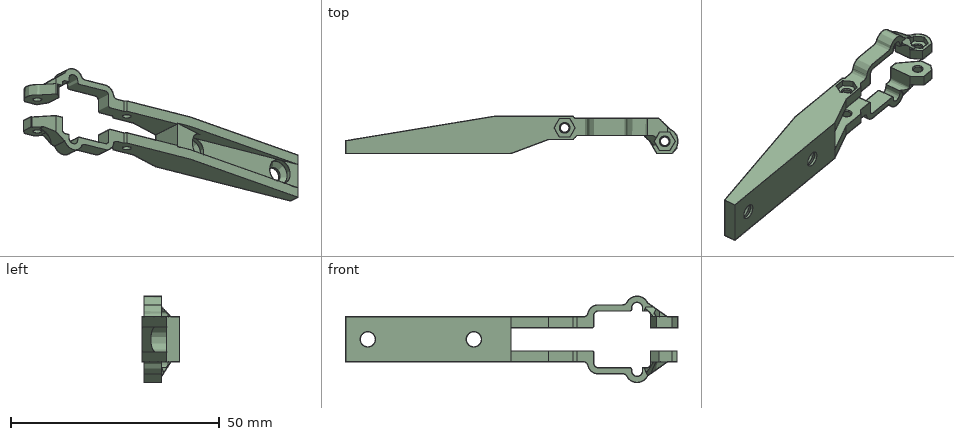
import cadquery as cq
import math

DEPTH = 9.0
HEIGHT = 10.8
BLOCK_LENGTH = 39.6
SLOT_HEIGHT = 5.5
ARM_OUTER = HEIGHT / 2
ARM_INNER = SLOT_HEIGHT / 2

TAIL_DEPTH = 3.1
TAPER_END = 35.8
RELIEF_END = 48.5
PAD_FRONT = 3.35
PAD_END = 54.4
PAD_CHAMFER = 0.95

TROUGH_HEIGHT = 6.0
RAMP_SLOPE = 0.36
MOUNT_HOLES_X = (5.3, 30.7)
MOUNT_HOLE_DIAMETER = 3.6
MOUNT_LIP = 0.6
MOUNT_HEAD_DIAMETER = TROUGH_HEIGHT

STRIP_FRONT = 4.3
STRIP_BACK = 8.5
STRIP_THICKNESS = 1.5
STRIP_TOP = 8.3
STRIP_BOTTOM = STRIP_TOP - STRIP_THICKNESS
STEP_X = 59.4
STEP_CORNER_RADIUS = 0.5
ELBOW_INNER_RADIUS = 1.0
ELBOW_OUTER_RADIUS = ELBOW_INNER_RADIUS + STRIP_THICKNESS
ELBOW_ROOT_RADIUS = 1.0

BUMP_X = 69.8
BUMP_TOP = 10.35
BUMP_INNER_RADIUS = 1.3
BUMP_OUTER_RADIUS = BUMP_INNER_RADIUS + STRIP_THICKNESS
BUMP_Z = BUMP_TOP - BUMP_OUTER_RADIUS
BUMP_ROOT_RADIUS = 1.0
BUMP_CORNER_RADIUS = 0.5
BUMP_END_ANGLE = 25.0

LENGTH = 79.6
TIP_RADIUS = 3.2
TIP_X = LENGTH - TIP_RADIUS
TIP_Y = 2.95
JAW_LEFT = 73.0
JAW_LEFT_CORNER_Y = 2.6
JAW_BACK_CORNER_X = 74.95
JAW_CHAMFER_X = 78.1
LOWER_JAW_FRONT_X = 75.0
LOWER_JAW_END = 79.3
LOWER_JAW_CHAMFER_Y = 1.3
LOWER_JAW_SHOULDER_Y = 4.45
UPPER_JAW_FRONT_X = 74.5
UPPER_JAW_CHAMFER = 1.4
UPPER_JAW_ARC_END = 65.0

STRUT_LEFT = 71.45
STRUT_CORNER_X = 73.7
STRUT_CORNER_Y = 2.1
STRUT_END = 77.0
STRUT_SHELF_END = 72.2
UPPER_BEVEL_TOP = 7.8
LOWER_BEVEL_TOP = 8.9

SCREW_DIAMETER = 2.1
SCREW_CHAMFER = 0.2
SCREW_HEAD_DIAMETER = 4.2
HEAD_CLEARANCE_DIAMETER = 8.75
NUT_WIDTH = 4.4
NUT_DEPTH = 1.5
PAD_SCREW = (52.4, (DEPTH + PAD_FRONT) / 2)
TIP_SCREW = (TIP_X, TIP_Y)


def polar(u, v, radius, degrees):
    """Point on a circle about (u, v) in the working plane."""
    angle = math.radians(degrees)
    return (u + radius * math.cos(angle), v + radius * math.sin(angle))


def extrude_plan(outline, bottom, top):
    """Extrude a closed XY outline between two heights."""
    return outline.extrude(top - bottom).translate((0, 0, bottom))


def extrude_side(outline, front, back):
    """Extrude a closed XZ outline between two depths."""
    return outline.extrude(-(back - front)).translate((0, front, 0))


def mount_hole(x):
    """Countersunk hole along Y, narrow at the front face and open to the trough."""
    hole_radius = MOUNT_HOLE_DIAMETER / 2
    head_radius = MOUNT_HEAD_DIAMETER / 2
    cone_end = MOUNT_LIP + head_radius - hole_radius
    half_section = cq.Workplane("XY").polyline([
        (0, 0),
        (hole_radius, 0),
        (hole_radius, MOUNT_LIP),
        (head_radius, cone_end),
        (head_radius, TAIL_DEPTH),
        (0, TAIL_DEPTH),
    ]).close()
    return half_section.revolve(360, (0, 0, 0), (0, 1, 0)).translate((x, 0, 0))


def block():
    """Tapered block with two root pads, a slot between them and a round-ended trough in its back."""
    body = extrude_plan(
        cq.Workplane("XY").polyline([
            (0, 0),
            (BLOCK_LENGTH, 0),
            (RELIEF_END, PAD_FRONT),
            (PAD_END, PAD_FRONT),
            (PAD_END + PAD_CHAMFER, PAD_FRONT + PAD_CHAMFER),
            (PAD_END + PAD_CHAMFER, DEPTH - PAD_CHAMFER),
            (PAD_END, DEPTH),
            (TAPER_END, DEPTH),
            (0, TAIL_DEPTH),
        ]).close(),
        -ARM_OUTER, ARM_OUTER)
    slot = cq.Workplane("XY").box(LENGTH, DEPTH, SLOT_HEIGHT, centered=(False, False, True))
    trough_end = MOUNT_HOLES_X[-1]
    trough = extrude_side(
        cq.Workplane("XZ")
        .moveTo(0, -TROUGH_HEIGHT / 2)
        .lineTo(trough_end, -TROUGH_HEIGHT / 2)
        .threePointArc((trough_end + TROUGH_HEIGHT / 2, 0), (trough_end, TROUGH_HEIGHT / 2))
        .lineTo(0, TROUGH_HEIGHT / 2)
        .close(),
        TAIL_DEPTH, DEPTH)
    ramp = extrude_plan(
        cq.Workplane("XY").polyline([
            (trough_end, DEPTH - RAMP_SLOPE * (BLOCK_LENGTH - trough_end)),
            (BLOCK_LENGTH, DEPTH),
            (trough_end, DEPTH),
        ]).close(),
        -TROUGH_HEIGHT / 2, TROUGH_HEIGHT / 2)
    body = body.cut(slot.translate((BLOCK_LENGTH, 0, 0))).cut(trough).cut(ramp)
    for x in MOUNT_HOLES_X:
        body = body.cut(mount_hole(x))
    return body


def strip():
    """Stepped strip of the upper arm from its root pad to the end of the bump."""
    elbow_x = STEP_X + ELBOW_INNER_RADIUS
    elbow_z = STRIP_TOP - ELBOW_OUTER_RADIUS
    root_z = ARM_OUTER + ELBOW_ROOT_RADIUS
    reach = ELBOW_OUTER_RADIUS + ELBOW_ROOT_RADIUS
    tilt = math.degrees(math.asin((root_z - elbow_z) / reach))
    root_x = elbow_x - reach * math.cos(math.radians(tilt))
    elbow_start = polar(elbow_x, elbow_z, ELBOW_OUTER_RADIUS, 180 - tilt)
    bump_root_z = STRIP_TOP + BUMP_ROOT_RADIUS
    bump_reach = BUMP_OUTER_RADIUS + BUMP_ROOT_RADIUS
    bump_tilt = math.degrees(math.asin((bump_root_z - BUMP_Z) / bump_reach))
    bump_root_x = BUMP_X - bump_reach * math.cos(math.radians(bump_tilt))
    bump_start = polar(BUMP_X, BUMP_Z, BUMP_OUTER_RADIUS, 180 - bump_tilt)
    bump_end = polar(BUMP_X, BUMP_Z, BUMP_OUTER_RADIUS, BUMP_END_ANGLE)
    bump_left = BUMP_X - BUMP_INNER_RADIUS
    bump_right = BUMP_X + BUMP_INNER_RADIUS
    outline = (
        cq.Workplane("XZ")
        .moveTo(PAD_END, ARM_INNER)
        .lineTo(PAD_END, ARM_OUTER)
        .lineTo(root_x, ARM_OUTER)
        .threePointArc(polar(root_x, root_z, ELBOW_ROOT_RADIUS, -45 - tilt / 2), elbow_start)
        .threePointArc(polar(elbow_x, elbow_z, ELBOW_OUTER_RADIUS, 135), (elbow_x, STRIP_TOP))
        .lineTo(bump_root_x, STRIP_TOP)
        .threePointArc(polar(bump_root_x, bump_root_z, BUMP_ROOT_RADIUS, -45 - bump_tilt / 2), bump_start)
        .threePointArc((BUMP_X, BUMP_TOP), bump_end)
        .lineTo(STRUT_SHELF_END, STRIP_BOTTOM)
        .lineTo(bump_right, STRIP_BOTTOM)
        .lineTo(bump_right, BUMP_Z)
        .threePointArc((BUMP_X, BUMP_Z + BUMP_INNER_RADIUS), (bump_left, BUMP_Z))
        .lineTo(bump_left, STRIP_BOTTOM + BUMP_CORNER_RADIUS)
        .threePointArc(
            polar(bump_left - BUMP_CORNER_RADIUS, STRIP_BOTTOM + BUMP_CORNER_RADIUS,
                  BUMP_CORNER_RADIUS, -45),
            (bump_left - BUMP_CORNER_RADIUS, STRIP_BOTTOM))
        .lineTo(elbow_x, STRIP_BOTTOM)
        .threePointArc(polar(elbow_x, elbow_z, ELBOW_INNER_RADIUS, 135), (STEP_X, elbow_z))
        .lineTo(STEP_X, ARM_INNER + STEP_CORNER_RADIUS)
        .threePointArc(
            polar(STEP_X - STEP_CORNER_RADIUS, ARM_INNER + STEP_CORNER_RADIUS,
                  STEP_CORNER_RADIUS, -45),
            (STEP_X - STEP_CORNER_RADIUS, ARM_INNER))
        .close())
    return extrude_side(outline, STRIP_FRONT, STRIP_BACK)


def strut(bevel_top):
    """Sloping web from the bump down to the jaw, bevelled where it widens to the front."""
    shelf_radius = JAW_LEFT - STRUT_SHELF_END
    shelf_z = STRIP_BOTTOM - shelf_radius
    side = extrude_side(
        cq.Workplane("XZ")
        .moveTo(STRUT_LEFT, STRIP_BOTTOM)
        .lineTo(*polar(BUMP_X, BUMP_Z, BUMP_OUTER_RADIUS, BUMP_END_ANGLE))
        .lineTo(STRUT_END, ARM_OUTER)
        .lineTo(JAW_LEFT, ARM_OUTER)
        .lineTo(JAW_LEFT, shelf_z)
        .threePointArc(polar(STRUT_SHELF_END, shelf_z, shelf_radius, 45), (STRUT_SHELF_END, STRIP_BOTTOM))
        .close(),
        0, DEPTH)
    plan = extrude_plan(
        cq.Workplane("XY").polyline([
            (STRUT_LEFT, STRIP_BACK),
            (JAW_BACK_CORNER_X, STRIP_BACK),
            (LENGTH, STRIP_BACK - (LENGTH - JAW_BACK_CORNER_X)),
            (LENGTH, STRUT_CORNER_Y),
            (STRUT_CORNER_X, STRUT_CORNER_Y),
            (STRUT_LEFT, STRIP_FRONT),
        ]).close(),
        ARM_INNER, BUMP_TOP)
    bevel = (
        cq.Workplane("YZ")
        .polyline([
            (STRUT_CORNER_Y, ARM_INNER),
            (STRIP_BACK, ARM_INNER),
            (STRIP_BACK, BUMP_TOP),
            (STRIP_FRONT, BUMP_TOP),
            (STRIP_FRONT, bevel_top),
            (STRUT_CORNER_Y, ARM_OUTER),
        ])
        .close()
        .extrude(LENGTH))
    return side.intersect(plan).intersect(bevel)


def upper_jaw():
    """Flat jaw with a rounded end that blends into a straight cut at its front corner."""
    corner_distance = math.hypot(JAW_CHAMFER_X - TIP_X, TIP_Y)
    corner_angle = math.atan2(-TIP_Y, JAW_CHAMFER_X - TIP_X)
    tangent = math.degrees(corner_angle + math.acos(TIP_RADIUS / corner_distance))
    arc_end = polar(TIP_X, TIP_Y, TIP_RADIUS, UPPER_JAW_ARC_END)
    outline = (
        cq.Workplane("XY")
        .moveTo(JAW_LEFT + UPPER_JAW_CHAMFER, STRIP_BACK)
        .lineTo(JAW_LEFT, STRIP_BACK - UPPER_JAW_CHAMFER)
        .lineTo(JAW_LEFT, JAW_LEFT_CORNER_Y)
        .lineTo(UPPER_JAW_FRONT_X, 0)
        .lineTo(JAW_CHAMFER_X, 0)
        .lineTo(*polar(TIP_X, TIP_Y, TIP_RADIUS, tangent))
        .threePointArc((LENGTH, TIP_Y), arc_end)
        .lineTo(JAW_BACK_CORNER_X, STRIP_BACK)
        .close())
    return extrude_plan(outline, ARM_INNER, ARM_OUTER)


def lower_jaw():
    """Flat jaw with straight edges, built at the height of the upper arm."""
    shoulder_x = JAW_BACK_CORNER_X + (STRIP_BACK - LOWER_JAW_SHOULDER_Y)
    outline = cq.Workplane("XY").polyline([
        (JAW_LEFT, STRIP_BACK),
        (JAW_LEFT, JAW_LEFT_CORNER_Y),
        (LOWER_JAW_FRONT_X, 0),
        (JAW_CHAMFER_X, 0),
        (LOWER_JAW_END, LOWER_JAW_CHAMFER_Y),
        (LOWER_JAW_END, LOWER_JAW_SHOULDER_Y),
        (shoulder_x, LOWER_JAW_SHOULDER_Y),
        (JAW_BACK_CORNER_X, STRIP_BACK),
    ]).close()
    return extrude_plan(outline, ARM_INNER, ARM_OUTER)


def screw_hole(centre):
    """Clearance for a screw through both arms, chamfered where it enters each arm from above."""
    radius = SCREW_DIAMETER / 2
    hole = extrude_plan(cq.Workplane("XY").center(*centre).circle(radius), -BUMP_TOP, BUMP_TOP)
    for z in (ARM_OUTER - NUT_DEPTH, -ARM_INNER):
        mouth = cq.Solid.makeCone(
            radius + SCREW_CHAMFER, radius, SCREW_CHAMFER, cq.Vector(*centre, z), cq.Vector(0, 0, -1))
        hole = hole.union(cq.Workplane(obj=mouth))
    return hole


def nut_pocket(centre):
    """Hexagonal pocket in the outer face of the upper arm, with corners along X."""
    across_corners = NUT_WIDTH / math.cos(math.pi / 6)
    hexagon = cq.Workplane("XY").center(*centre).polygon(6, across_corners)
    return extrude_plan(hexagon, ARM_OUTER - NUT_DEPTH, BUMP_TOP)


def head_clearance():
    """Conical room for the screw head above a jaw, opening outward from the jaw face."""
    base = cq.Vector(*TIP_SCREW, ARM_OUTER)
    solid = cq.Solid.makeCone(
        SCREW_HEAD_DIAMETER / 2, HEAD_CLEARANCE_DIAMETER / 2, BUMP_TOP - ARM_OUTER, base, cq.Vector(0, 0, 1))
    return cq.Workplane(obj=solid)


upper_arm = strip().union(strut(UPPER_BEVEL_TOP)).union(upper_jaw())
lower_arm = strip().union(strut(LOWER_BEVEL_TOP).cut(head_clearance())).union(lower_jaw()).mirror("XY")

result = block().union(upper_arm).union(lower_arm)
for screw in (PAD_SCREW, TIP_SCREW):
    result = result.cut(screw_hole(screw)).cut(nut_pocket(screw))